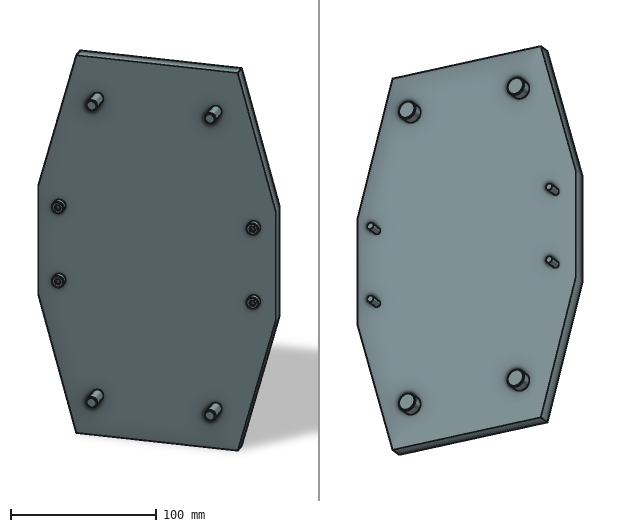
import cadquery as cq

plate_height = 280.0
plate_width = 171.0
end_width = 116.2
side_height = 80.0
plate_thickness = 9.8

large_x = 42.5
large_z = 110.0
large_shank_diameter = 8.0
large_head_diameter = 13.2
large_head_height = 8.0
large_reach = 15.0
large_chamfer = 0.7

small_x = 70.0
small_z = 27.5
small_shank_diameter = 4.8
small_head_diameter = 8.7
small_head_height = 5.0
small_head_chamfer = 0.42
small_reach = 10.0
socket_across_corners = 4.5
socket_depth = 2.5

front_y = -plate_thickness / 2
back_y = plate_thickness / 2


def rod(diameter, start_y, end_y):
    """Cylinder along Y between two Y positions, centred on the Y axis."""
    start = cq.Workplane("XZ", origin=(0, end_y, 0))
    return start.circle(diameter / 2).extrude(end_y - start_y)


def make_plate():
    """Right half of the outline, mirrored and extruded through the thickness."""
    right_side = [
        (0, plate_height / 2),
        (end_width / 2, plate_height / 2),
        (plate_width / 2, side_height / 2),
        (plate_width / 2, -side_height / 2),
        (end_width / 2, -plate_height / 2),
        (0, -plate_height / 2),
    ]
    outline = cq.Workplane("XZ", origin=(0, back_y, 0)).polyline(right_side).mirrorY()
    return outline.extrude(plate_thickness)


def make_large_screw():
    """Cylinder head behind the plate and a shank through it, both with chamfered ends."""
    head = rod(large_head_diameter, back_y, back_y + large_head_height)
    head = head.faces(">Y").chamfer(large_chamfer)
    shank = rod(large_shank_diameter, front_y - large_reach, back_y)
    shank = shank.faces("<Y").chamfer(large_chamfer)
    return head.union(shank)


def make_small_screw():
    """Chamfered hex socket head in front of the plate and a plain shank behind it."""
    head_y = front_y - small_head_height
    socket = (
        cq.Workplane("XZ", origin=(0, head_y + socket_depth, 0))
        .polygon(6, socket_across_corners)
        .extrude(socket_depth)
    )
    head = rod(small_head_diameter, head_y, front_y)
    head = head.faces("<Y").chamfer(small_head_chamfer).cut(socket)
    shank = rod(small_shank_diameter, front_y, back_y + small_reach)
    return head.union(shank)


def add_at_corners(body, screw, x, z):
    """Join a copy of the screw to the body at the four points (+-x, +-z)."""
    for side_x in (-x, x):
        for side_z in (-z, z):
            body = body.union(screw.translate((side_x, 0, side_z)))
    return body


result = make_plate()
result = add_at_corners(result, make_large_screw(), large_x, large_z)
result = add_at_corners(result, make_small_screw(), small_x, small_z)